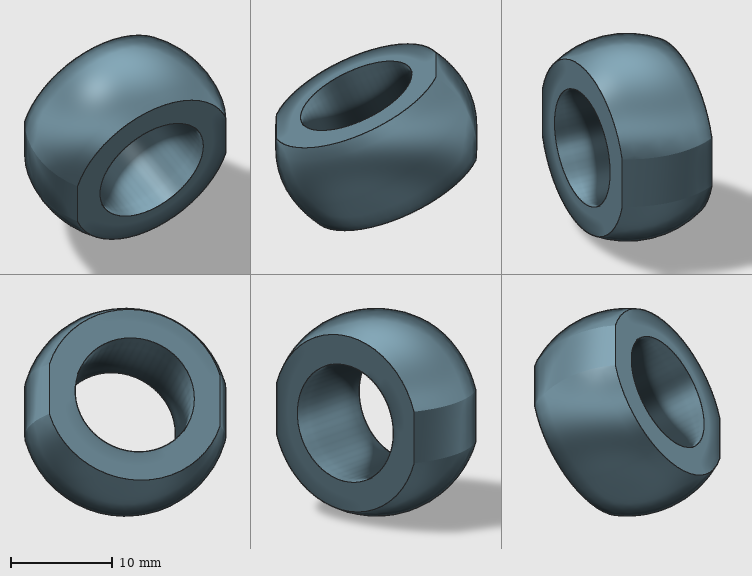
import cadquery as cq

width = 10.0
bore_diameter = 12.0
face_diameter = 18.0
band_height = 5.3

half_width = width / 2
face_radius = face_diameter / 2
ball_radius = (face_radius**2 + half_width**2) ** 0.5
relief_radius = (ball_radius**2 - (band_height / 2) ** 2) ** 0.5


def truncated_ball():
    """Solid of revolution about X: a ball cut flat at both ends of its width."""
    profile = (
        cq.Workplane("XY")
        .moveTo(-half_width, 0)
        .lineTo(-half_width, face_radius)
        .threePointArc((0, ball_radius), (half_width, face_radius))
        .lineTo(half_width, 0)
        .close()
    )
    return profile.revolve(360, (0, 0, 0), (1, 0, 0))


def relief_cylinder():
    """Upright cylinder whose wall forms the two curved side bands."""
    return cq.Workplane("XY").circle(relief_radius).extrude(ball_radius, both=True)


def bore():
    """Through hole along the X axis."""
    start = cq.Workplane("YZ", origin=(-half_width, 0, 0))
    return start.circle(bore_diameter / 2).extrude(width)


result = truncated_ball().intersect(relief_cylinder()).cut(bore())